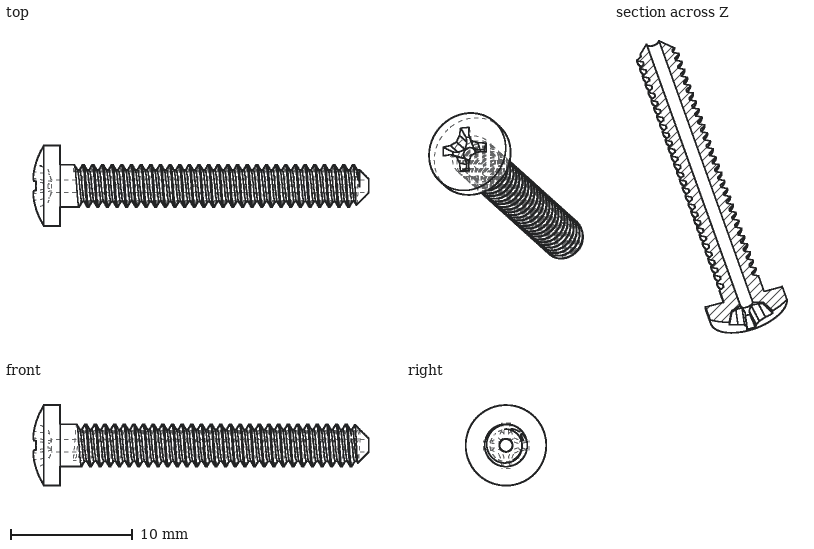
import cadquery as cq
import math


inch = 25.4

head_diameter = 6.65
head_height = 2.24
rim_height = 1.34
crown_trim = 0.06

shank_length = inch
shank_diameter = 3.505
tip_diameter = 1.10
tip_length = (shank_diameter - tip_diameter) / 2

pitch = inch / 32
thread_depth = 0.43
flank_angle = 30
groove_root_width = pitch / 4
groove_at_top = 1.70
start_angle = 135.0
groove_end_gap = 0.3
groove_overrun = 0.03

wing_count = 4
wing_reach = 1.99
wing_half_width = 0.405
wing_end_slope = 27.6
wing_side_slope = 9.4
corner_size = 0.79
recess_depth = 1.50
floor_slope = 18.0
cutter_overrun = 0.1

bore_diameter = 1.04

head_radius = head_diameter / 2
shank_radius = shank_diameter / 2
tip_radius = tip_diameter / 2
bore_radius = bore_diameter / 2
head_top = -head_height
crown_peak = head_top - crown_trim
floor_x = head_top + recess_depth


def tan_deg(angle):
    """Tangent of an angle in degrees."""
    return math.tan(math.radians(angle))


def make_blank():
    """Turned profile of the domed head, plain shank and pointed tip."""
    crown_height = -rim_height - crown_peak
    crown_radius = (head_radius**2 + crown_height**2) / (2 * crown_height)
    mid_radius = head_radius / 2
    mid_drop = crown_radius - math.sqrt(crown_radius**2 - mid_radius**2)
    return (
        cq.Workplane("XY")
        .moveTo(crown_peak, 0)
        .threePointArc((crown_peak + mid_drop, mid_radius), (-rim_height, head_radius))
        .lineTo(0, head_radius)
        .lineTo(0, shank_radius)
        .lineTo(shank_length - tip_length, shank_radius)
        .lineTo(shank_length, tip_radius)
        .lineTo(shank_length, 0)
        .close()
        .revolve(360, (0, 0, 0), (1, 0, 0))
    )


def end_face(points):
    """Flat face closing one end of the groove cutter."""
    return cq.Face.makeFromWires(cq.Wire.makePolygon(points, close=True))


def make_thread_groove():
    """Right-hand helical cutter, built along Z and then laid along X."""
    start_x = groove_at_top - pitch * start_angle / 360
    length = shank_length - groove_end_gap - start_x
    root_radius = shank_radius - thread_depth
    outer_radius = shank_radius + groove_overrun
    root_half = groove_root_width / 2
    outer_half = root_half + (outer_radius - root_radius) * tan_deg(flank_angle)
    corners = [
        (root_radius, -root_half),
        (outer_radius, -outer_half),
        (outer_radius, outer_half),
        (root_radius, root_half),
    ]
    helices = [
        cq.Wire.makeHelix(pitch, length, radius, center=cq.Vector(0, 0, height))
        for radius, height in corners
    ]
    sides = [
        cq.Face.makeRuledSurface(helix, helices[index - 1]) for index, helix in enumerate(helices)
    ]
    start_cap = end_face([helix.startPoint() for helix in helices])
    end_cap = end_face([helix.endPoint() for helix in helices])
    shell = cq.Shell.makeShell(sides + [start_cap, end_cap])
    groove = cq.Workplane(cq.Solid.makeSolid(shell))
    laid = groove.rotate((0, 0, 0), (0, 1, 0), 90)
    return laid.rotate((0, 0, 0), (1, 0, 0), 180 - start_angle).translate((start_x, 0, 0))


def cross_outline(workplane, depth):
    """Closed four-wing outline of the recess at a depth below the head top."""
    reach = wing_reach - depth * tan_deg(wing_end_slope)
    half = wing_half_width - depth * tan_deg(wing_side_slope)
    corner_end = half + corner_size
    corner_mid = corner_end - corner_size * math.cos(math.pi / wing_count)

    def turned(x, y, quarter):
        """Point turned about the axis by a number of quarter turns."""
        for _ in range(quarter):
            x, y = -y, x
        return x, y

    last_quarter = wing_count - 1
    outline = workplane.moveTo(reach, -half)
    for quarter in range(wing_count):
        outline = outline.lineTo(*turned(reach, half, quarter))
        outline = outline.lineTo(*turned(corner_end, half, quarter))
        outline = outline.lineTo(*turned(corner_mid, corner_mid, quarter))
        outline = outline.lineTo(*turned(half, corner_end, quarter))
        if quarter < last_quarter:
            outline = outline.lineTo(*turned(reach, -half, quarter + 1))
    return outline.close()


def make_recess():
    """Tapered cross with a shallow conical floor."""
    mouth = cq.Workplane("YZ", origin=(crown_peak, 0, 0))
    outline = cross_outline(mouth, -crown_trim)
    cutter_depth = recess_depth + cutter_overrun
    outline = outline.workplane(offset=cutter_depth + crown_trim)
    cross = cross_outline(outline, cutter_depth).loft(ruled=True)
    floor_edge = floor_x - (head_radius - bore_radius) * tan_deg(floor_slope)
    limit = (
        cq.Workplane("XY")
        .moveTo(crown_peak, 0)
        .lineTo(crown_peak, head_radius)
        .lineTo(floor_edge, head_radius)
        .lineTo(floor_x, bore_radius)
        .lineTo(floor_x, 0)
        .close()
        .revolve(360, (0, 0, 0), (1, 0, 0))
    )
    return cross.intersect(limit)


def make_bore():
    """Hole along the axis, from the recess floor out through the tip."""
    mouth = cq.Workplane("YZ", origin=(head_top, 0, 0))
    return mouth.circle(bore_radius).extrude(head_height + shank_length)


result = make_blank().cut(make_thread_groove()).cut(make_recess()).cut(make_bore())